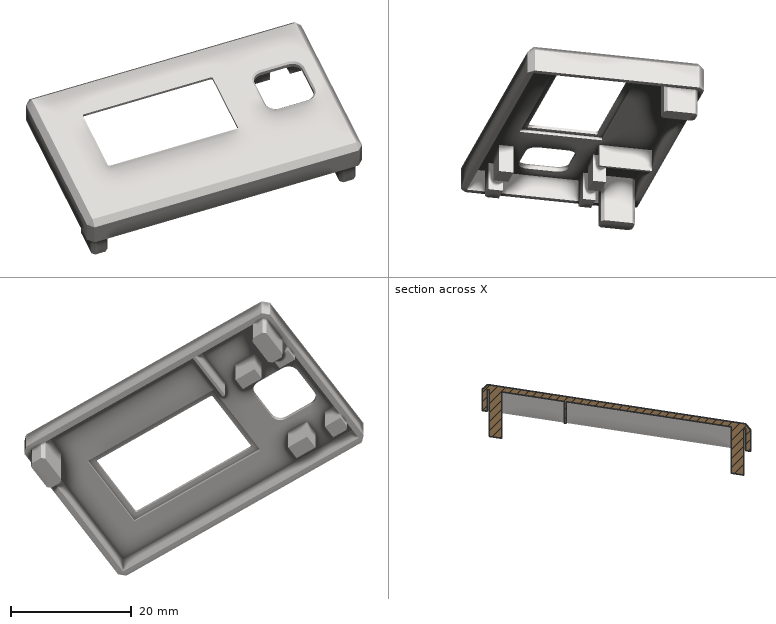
import cadquery as cq

length_x = 30.1
length_y = 48.9
total_height = 9.17
shell_height = 4.8
edge_chamfer = 1.0
wall = 1.0
inner_x = length_x / 2 - wall
inner_y = length_y / 2 - wall
ceiling = shell_height - wall

window_x = 12.05
window_y = 23.1
window_centre = (-1.9, -5.25)
window_corner_radius = 0.3
window_roof = 0.5
recess_margin = 1.0

button_size = 8.5
button_centre = (-1.95, 16.73)
button_corner_radius = 1.8
button_chamfer = 0.3

guide_drop = 1.0
guide_spans_x = ((-11.1, -8.6), (5.0, 7.15))
guide_spans_y = ((13.05, 16.8), (20.35, inner_y))
guide_chamfer = 0.5

rib_start_x = 5.1
rib_front_y = 9.1
rib_thickness = 0.5

peg_x = 5.75
peg_y = 2.85
peg_chamfer = 0.5
peg_drop = total_height - shell_height


def make_shell():
    """Chamfered block hollowed from below."""
    body = cq.Workplane("XY").box(length_x, length_y, shell_height, centered=(True, True, False))
    body = body.edges("|Z or >Z").chamfer(edge_chamfer)
    cavity = cq.Workplane("XY").box(2 * inner_x, 2 * inner_y, ceiling, centered=(True, True, False))
    return body.cut(cavity)


def make_opening(size_x, size_y, centre, corner_radius):
    """Vertical cutter with rounded corners, reaching the top face."""
    cutter = cq.Workplane("XY").center(*centre).rect(size_x, size_y).extrude(shell_height)
    return cutter.edges("|Z").fillet(corner_radius)


def make_window_recess():
    """Shallow pocket in the ceiling around the window."""
    depth = wall - window_roof
    recess = cq.Workplane("XY", origin=(*window_centre, ceiling))
    size_x = window_x + 2 * recess_margin
    size_y = window_y + 2 * recess_margin
    return recess.box(size_x, size_y, depth, centered=(True, True, False))


def make_button_opening():
    """Button cutter that flares outward at the top face."""
    mouth_size = button_size + 2 * button_chamfer
    mouth_radius = button_corner_radius + button_chamfer
    mouth = make_opening(mouth_size, mouth_size, button_centre, mouth_radius)
    mouth = mouth.faces("<Z").chamfer(button_chamfer)
    mouth = mouth.translate((0, 0, shell_height - button_chamfer))
    return make_opening(button_size, button_size, button_centre, button_corner_radius).union(mouth)


def make_guide(span_x, span_y):
    """Block from the ceiling to just below the rim."""
    low_x, high_x = span_x
    low_y, high_y = span_y
    block = cq.Workplane("XY", origin=(low_x, low_y, -guide_drop))
    return block.box(high_x - low_x, high_y - low_y, ceiling + guide_drop, centered=False)


def make_rib():
    """Thin wall between the ceiling and the rim level."""
    rib = cq.Workplane("XY", origin=(rib_start_x, rib_front_y, 0))
    return rib.box(inner_x - rib_start_x, rib_thickness, ceiling, centered=False)


def make_peg(side_y):
    """Chamfered post in the +X corner on the given Y side."""
    centre = (inner_x - peg_x / 2, side_y * (inner_y - peg_y / 2), -peg_drop)
    post = cq.Workplane("XY", origin=centre)
    post = post.box(peg_x, peg_y, peg_drop + ceiling, centered=(True, True, False))
    return post.edges("|Z").chamfer(peg_chamfer)


result = make_shell()
for span_x in guide_spans_x:
    for span_y in guide_spans_y:
        guide = make_guide(span_x, span_y)
        if span_x == guide_spans_x[0] and span_y == guide_spans_y[-1]:
            guide = guide.edges("|Z and <X and >Y").chamfer(guide_chamfer)
        result = result.union(guide)
result = result.union(make_rib())
for side_y in (-1, 1):
    result = result.union(make_peg(side_y))
result = result.cut(make_window_recess())
result = result.cut(make_opening(window_x, window_y, window_centre, window_corner_radius))
result = result.cut(make_button_opening())